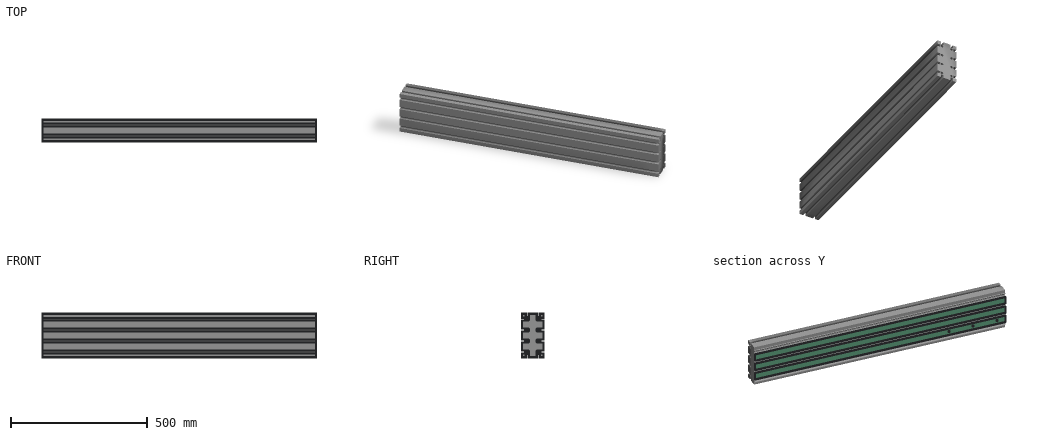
import cadquery as cq

length = 1000.0
cell = 40.0
columns = 2
rows = 4
slot_width = 10.0
slot_depth = 12.25
core_hole_diameter = 10.0

width = columns * cell
height = rows * cell


def cell_centers(count):
    """Cell centre positions along one axis, symmetric about zero."""
    return [(index - (count - 1) / 2) * cell for index in range(count)]


column_centers = cell_centers(columns)
row_centers = cell_centers(rows)


def profile_body():
    """Plain bar running along X, centred on its axis."""
    return cq.Workplane("YZ").rect(width, height).extrude(length)


def side_slots():
    """Grooves in the two Y faces, one for each row of cells."""
    points = [(side * width / 2, z) for side in (-1, 1) for z in row_centers]
    return cq.Workplane("YZ").pushPoints(points).rect(2 * slot_depth, slot_width).extrude(length)


def top_and_bottom_slots():
    """Grooves in the two Z faces, one for each column of cells."""
    points = [(y, side * height / 2) for side in (-1, 1) for y in column_centers]
    return cq.Workplane("YZ").pushPoints(points).rect(slot_width, 2 * slot_depth).extrude(length)


def core_holes():
    """Round holes through the full length at every cell centre."""
    points = [(y, z) for y in column_centers for z in row_centers]
    return cq.Workplane("YZ").pushPoints(points).circle(core_hole_diameter / 2).extrude(length)


result = profile_body().cut(side_slots()).cut(top_and_bottom_slots()).cut(core_holes())